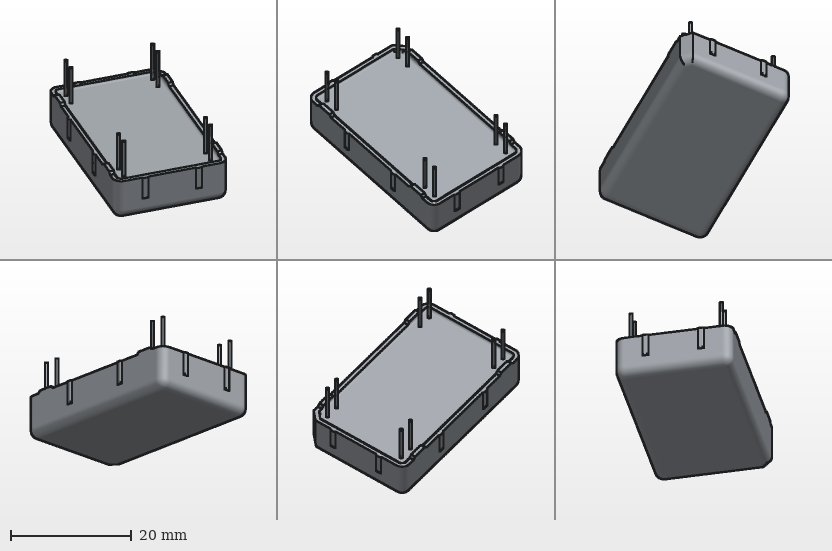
import cadquery as cq
import math

overall_length = 32.95
overall_width = 20.05
overall_height = 13.5
case_height = 7.3
rib_depth = 0.2
case_length = overall_length - 2 * rib_depth
case_width = overall_width - rib_depth
corner_radius = 1.5
corner_chamfer = 1.58

rim_width = 0.82
recess_depth = 0.5
recess_corner_radius = corner_radius - rim_width
floor_fillet = 0.45

tab_height = 0.43
tab_base = 3.5
tab_spacing = 23.65

pin_diameter = 0.53
pin_row_spacing = 15.3
pin_pitch = 2.5
outer_pin_spacing = 27.9

rib_width = 1.05
rib_length = 4.02
rib_edge_radius = 0.23
rib_embed = 0.33
front_rib_spacing = 12.0
end_rib_spacing = 9.42


def rounded_block(length, width, height, radius, chamfer):
    """Block on Z = 0 with three rounded corners and a chamfered -X +Y corner."""
    block = cq.Workplane("XY").box(length, width, height, centered=(True, True, False))
    block = block.edges("|Z and (<X and >Y)").chamfer(chamfer)
    return block.edges("|Z and (>X or (<X and <Y))").fillet(radius)


def case_body():
    """Outer case, its bottom edge rounded with the same radius as its corners."""
    body = rounded_block(case_length, case_width, case_height, corner_radius, corner_chamfer)
    return body.faces("<Z").edges().fillet(corner_radius)


def rim_recess():
    """Shallow recess that leaves an even rim around the top of the case."""
    recess_chamfer = corner_chamfer - rim_width * (2 - math.sqrt(2))
    recess = rounded_block(
        case_length - 2 * rim_width,
        case_width - 2 * rim_width,
        recess_depth,
        recess_corner_radius,
        recess_chamfer,
    )
    recess = recess.faces("<Z").edges().fillet(floor_fillet)
    return recess.translate((0, 0, case_height - recess_depth))


def rim_tab(x, side):
    """Tab with 45 degree ends across the rim; side is -1 for the front, 1 for the back."""
    half_base = tab_base / 2
    half_top = half_base - tab_height
    profile = [(-half_base, 0), (half_base, 0), (half_top, tab_height), (-half_top, tab_height)]
    tab = cq.Workplane("XZ").polyline(profile).close().extrude(rim_width / 2, both=True)
    return tab.translate((x, side * (case_width - rim_width) / 2, case_height))


def wall_rib():
    """Rib standing out towards -Y from a wall at Y = 0, with its top at Z = 0."""
    rib = cq.Workplane("XY").box(
        rib_width, rib_depth + rib_embed, rib_length, centered=(True, False, False)
    )
    rib = rib.translate((0, -rib_depth, -rib_length))
    return rib.faces("<Y").edges("|Z or <Z").fillet(rib_edge_radius)


def pin(x, y):
    """Round pin standing on the recess floor."""
    floor = case_height - recess_depth
    base = cq.Workplane("XY", origin=(x, y, floor))
    return base.circle(pin_diameter / 2).extrude(overall_height - floor)


result = case_body().cut(rim_recess())

outer_pin_x = outer_pin_spacing / 2
for side in (-1, 1):
    for end in (-1, 1):
        result = result.union(rim_tab(end * tab_spacing / 2, side))
        for pin_x in (outer_pin_x, outer_pin_x - pin_pitch):
            result = result.union(pin(end * pin_x, side * pin_row_spacing / 2))

for side in (-1, 1):
    front_rib_place = (side * front_rib_spacing / 2, -case_width / 2, case_height)
    result = result.union(wall_rib().translate(front_rib_place))

for end in (-1, 1):
    end_rib = wall_rib().rotate((0, 0, 0), (0, 0, 1), end * 90)
    for side in (-1, 1):
        end_rib_place = (end * case_length / 2, side * end_rib_spacing / 2, case_height)
        result = result.union(end_rib.translate(end_rib_place))